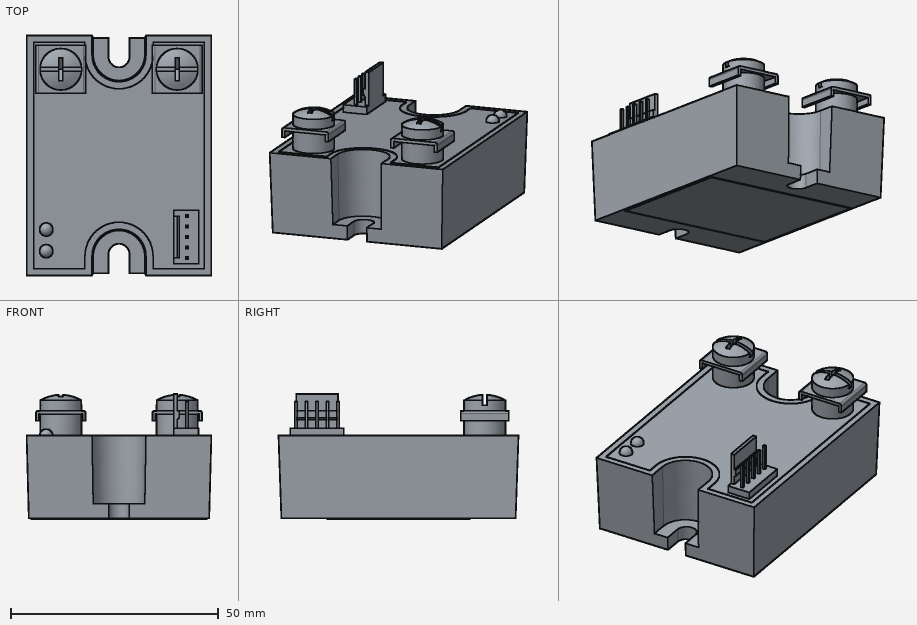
import cadquery as cq
import math


PAD_WIDTH = 42.2
PAD_LENGTH = 34.4
PAD_THICKNESS = 0.2

CASE_WIDTH = 44.5
CASE_LENGTH = 57.8
CASE_HEIGHT = 20.0
SIDE_DRAFT = 1.5
END_DRAFT = 2.0
RIM_WIDTH = 1.7
FLOOR_THICKNESS = 3.5
CASE_TOP = PAD_THICKNESS + CASE_HEIGHT
FLOOR_TOP = PAD_THICKNESS + FLOOR_THICKNESS

NOTCH_RADIUS = 6.5
NOTCH_DRAFT = 1.0
NOTCH_CENTRE_Y = 24.25
SLOT_RADIUS = 2.5
SLOT_CENTRE_Y = 23.75

FILL_RECESS = 0.1
FILL_TOP = CASE_TOP - FILL_RECESS

TERMINAL_X = 14.0
TERMINAL_Y = 20.75
POST_DIAMETER = 10.0
CLAMP_WIDTH = 12.0
CLAMP_LENGTH = 11.6
CLAMP_THICKNESS = 0.8
CLAMP_HEIGHT = 2.4
CLAMP_TOP = CASE_TOP + 5.9
CLAMP_BEND_RADIUS = 0.6
HEAD_EDGE_TOP = CLAMP_TOP + 2.5
DOME_HEIGHT = 1.4
DOME_TOP = HEAD_EDGE_TOP + DOME_HEIGHT
SCREW_SLOT_WIDTH = 1.0
SCREW_SLOT_BOTTOM = CLAMP_TOP + 1.35
CROSS_CUT_HALF_LENGTH = 2.8

LAMP_RADIUS = 1.6
LAMP_X = -17.5
LAMP_YS = (-17.8, -23.0)

CONNECTOR_LEFT = 13.15
CONNECTOR_Y = -19.6
CONNECTOR_WIDTH = 6.0
CONNECTOR_LENGTH = 12.9
CONNECTOR_BASE_TOP = CASE_TOP + 1.75
TAB_THICKNESS = 0.9
TAB_LENGTH = 10.1
TAB_TOP = CASE_TOP + 10.0
LATCH_DEPTH = 0.45
LATCH_TOP = CASE_TOP + 5.9
LATCH_HEIGHT = 2.1
PIN_COUNT = 5
PIN_PITCH = 2.54
PIN_SIZE = 0.64
PIN_X = CONNECTOR_LEFT + 3.2
PIN_TOP = CASE_TOP + 8.2
PIN_TIP_CHAMFER = 0.15


def block(width, length, bottom, top, x=0, y=0):
    """Box centred on (x, y) between two heights."""
    return (
        cq.Workplane("XY", origin=(x, y, bottom))
        .box(width, length, top - bottom, centered=(True, True, False))
    )


def u_cutter(radius, centre_y, bottom, top, draft=0):
    """U-shaped cutter, open towards +Y, whose outline shrinks downwards by the draft angle."""
    open_end = CASE_LENGTH
    return (
        cq.Workplane("XY", origin=(0, 0, top))
        .moveTo(-radius, open_end)
        .lineTo(-radius, centre_y)
        .threePointArc((0, centre_y - radius), (radius, centre_y))
        .lineTo(radius, open_end)
        .close()
        .extrude(bottom - top, taper=draft)
    )


def make_cavity():
    """Volume inside the rim: a box with its ends set back around both notches."""
    cavity = block(CASE_WIDTH - 2 * RIM_WIDTH, CASE_LENGTH - 2 * RIM_WIDTH, FLOOR_TOP, CASE_TOP)
    notch_wall = u_cutter(NOTCH_RADIUS + RIM_WIDTH, NOTCH_CENTRE_Y, FLOOR_TOP, CASE_TOP)
    return cavity.cut(notch_wall).cut(notch_wall.mirror("XZ"))


def make_case():
    """Case that tapers downwards, open at the top and notched and slotted at both ends."""
    bottom_width = CASE_WIDTH - 2 * CASE_HEIGHT * math.tan(math.radians(SIDE_DRAFT))
    bottom_length = CASE_LENGTH - 2 * CASE_HEIGHT * math.tan(math.radians(END_DRAFT))
    case = (
        cq.Workplane("XY", origin=(0, 0, PAD_THICKNESS))
        .rect(bottom_width, bottom_length)
        .workplane(offset=CASE_HEIGHT)
        .rect(CASE_WIDTH, CASE_LENGTH)
        .loft(ruled=True)
    )
    notch = u_cutter(NOTCH_RADIUS, NOTCH_CENTRE_Y, FLOOR_TOP, CASE_TOP, NOTCH_DRAFT)
    slot = u_cutter(SLOT_RADIUS, SLOT_CENTRE_Y, 0, CASE_TOP)
    for cutter in (notch, slot):
        case = case.cut(cutter).cut(cutter.mirror("XZ"))
    return case.cut(make_cavity())


def make_clamp():
    """Square clamp plate with its two X edges bent down."""
    clamp = (
        block(CLAMP_WIDTH, CLAMP_LENGTH, CLAMP_TOP - CLAMP_HEIGHT, CLAMP_TOP)
        .edges("|Y and >Z")
        .fillet(CLAMP_BEND_RADIUS)
    )
    inner_width = CLAMP_WIDTH - 2 * CLAMP_THICKNESS
    return clamp.cut(block(inner_width, CLAMP_LENGTH, FILL_TOP, CLAMP_TOP - CLAMP_THICKNESS))


def make_terminal():
    """Post, clamp plate and domed, cross-slotted screw head on the Z axis."""
    radius = POST_DIAMETER / 2
    dome_radius = (radius**2 + DOME_HEIGHT**2) / (2 * DOME_HEIGHT)
    half_angle = math.asin(radius / dome_radius) / 2
    dome_centre = DOME_TOP - dome_radius
    dome_middle = (dome_radius * math.sin(half_angle), dome_centre + dome_radius * math.cos(half_angle))
    screw = (
        cq.Workplane("XZ")
        .moveTo(0, FILL_TOP)
        .lineTo(radius, FILL_TOP)
        .lineTo(radius, HEAD_EDGE_TOP)
        .threePointArc(dome_middle, (0, DOME_TOP))
        .close()
        .revolve(360, (0, 0), (0, 1))
    )
    straight_slot = block(POST_DIAMETER, SCREW_SLOT_WIDTH, SCREW_SLOT_BOTTOM, DOME_TOP)

    dome_at_slot_end = dome_centre + math.sqrt(dome_radius**2 - CROSS_CUT_HALF_LENGTH**2)
    cross_cut = (
        cq.Workplane("YZ")
        .moveTo(0, dome_at_slot_end - CROSS_CUT_HALF_LENGTH)
        .lineTo(CROSS_CUT_HALF_LENGTH, dome_at_slot_end)
        .lineTo(CROSS_CUT_HALF_LENGTH, DOME_TOP)
        .lineTo(-CROSS_CUT_HALF_LENGTH, DOME_TOP)
        .lineTo(-CROSS_CUT_HALF_LENGTH, dome_at_slot_end)
        .close()
        .extrude(SCREW_SLOT_WIDTH / 2, both=True)
    )
    return screw.union(make_clamp()).cut(straight_slot).cut(cross_cut)


def make_lamp(y):
    """Hemispherical lamp standing on the fill."""
    return cq.Workplane("XY", origin=(LAMP_X, y, FILL_TOP)).sphere(LAMP_RADIUS, angle1=0)


def make_connector():
    """Connector base with a locking tab along its -X edge and a row of pins."""
    base_x = CONNECTOR_LEFT + CONNECTOR_WIDTH / 2
    connector = block(
        CONNECTOR_WIDTH, CONNECTOR_LENGTH, FILL_TOP, CONNECTOR_BASE_TOP, base_x, CONNECTOR_Y
    )

    tab_right = CONNECTOR_LEFT + TAB_THICKNESS
    latch_right = tab_right + LATCH_DEPTH
    latch_bottom = LATCH_TOP - LATCH_HEIGHT
    tab = (
        cq.Workplane("XZ", origin=(0, CONNECTOR_Y, 0))
        .moveTo(CONNECTOR_LEFT, FILL_TOP)
        .lineTo(tab_right, FILL_TOP)
        .lineTo(tab_right, latch_bottom)
        .lineTo(latch_right, latch_bottom + LATCH_DEPTH)
        .lineTo(latch_right, LATCH_TOP)
        .lineTo(tab_right, LATCH_TOP)
        .lineTo(tab_right, TAB_TOP)
        .lineTo(CONNECTOR_LEFT, TAB_TOP)
        .close()
        .extrude(TAB_LENGTH / 2, both=True)
    )
    connector = connector.union(tab)

    for index in range(PIN_COUNT):
        pin_y = CONNECTOR_Y + (index - (PIN_COUNT - 1) / 2) * PIN_PITCH
        pin = block(PIN_SIZE, PIN_SIZE, FILL_TOP, PIN_TOP, PIN_X, pin_y)
        connector = connector.union(pin.faces(">Z").chamfer(PIN_TIP_CHAMFER))
    return connector


def make_fill():
    """Epoxy fill with the terminals, lamps and connector standing on it."""
    fill = make_cavity().intersect(block(CASE_WIDTH, CASE_LENGTH, 0, FILL_TOP))
    terminal = make_terminal()
    for side in (-1, 1):
        fill = fill.union(terminal.translate((side * TERMINAL_X, TERMINAL_Y, 0)))
    for lamp_y in LAMP_YS:
        fill = fill.union(make_lamp(lamp_y))
    return fill.union(make_connector())


pad = block(PAD_WIDTH, PAD_LENGTH, 0, PAD_THICKNESS)
case = make_case()
fill = make_fill()

result = cq.Compound.makeCompound([pad.val(), case.val(), fill.val()])